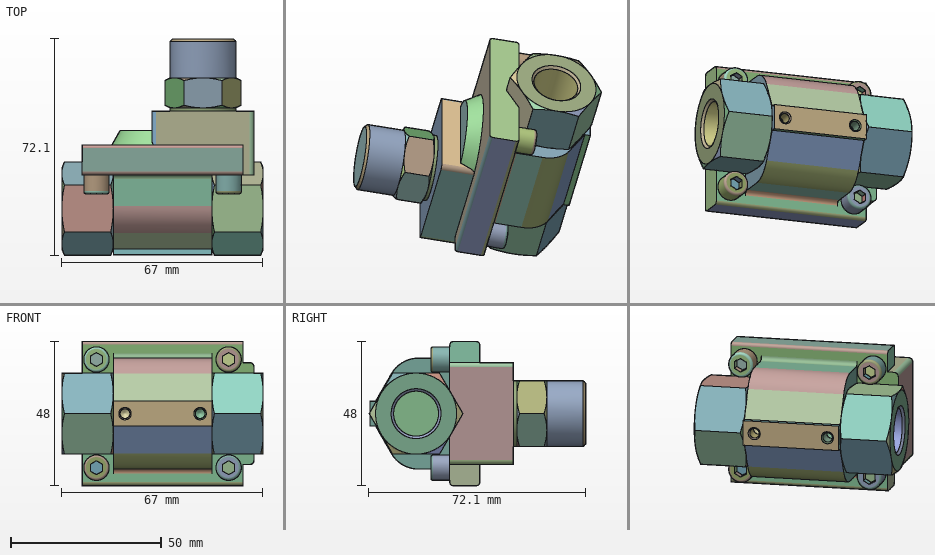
import cadquery as cq
import math


OVERALL_LENGTH = 67.0
OVERALL_DEPTH = 72.09
PORT_HEX_FLATS = 27.0
PORT_LENGTH = 17.1
PORT_BORE_DIAMETER = 14.95
PORT_BORE_MOUTH_DIAMETER = 16.6
PORT_BORE_DEPTH = PORT_LENGTH
PORT_CHAMFER_LENGTH = 0.85
PORT_CORNER_RADIUS = PORT_HEX_FLATS / math.sqrt(3)

BODY_LENGTH = OVERALL_LENGTH - 2 * PORT_LENGTH
BODY_HEIGHT = 37.0
BODY_SHOULDER_RADIUS = 10.4
BODY_SHOULDER_ANGLE = math.radians(60)
BODY_SHOULDER_Y = 0.8
BODY_ROOT_FILLET = 1.5

STRIP_HEIGHT = 8.4
STRIP_FRONT_Y = -15.4
STRIP_HOLE_SPACING = 25.0
STRIP_HOLE_DIAMETER = 3.24
STRIP_HOLE_MOUTH_DIAMETER = 4.13
STRIP_HOLE_DEPTH = 6.0
DRILL_POINT_ANGLE = math.radians(118)

PLATE_LENGTH = 53.6
PLATE_HEIGHT = 48.0
PLATE_FRONT_Y = 11.2
PLATE_THICKNESS = 10.0
PLATE_BACK_Y = PLATE_FRONT_Y + PLATE_THICKNESS
PLATE_EDGE_RADIUS = 1.1

SCREW_SPACING_X = 44.0
SCREW_SPACING_Z = 36.0
SCREW_HEAD_DIAMETER = 8.46
SCREW_HEAD_HEIGHT = 6.3
SCREW_EDGE_RADIUS = 0.8
SOCKET_FLATS = 4.0
SOCKET_DEPTH = 3.0

BOSS_BASE_RADIUS = 16.9
BOSS_TOP_RADIUS = 14.15
BOSS_HEIGHT = 4.8

OUTLET_X = 13.45
BLOCK_WIDTH = 34.0
BLOCK_BACK_Y = 32.4
BLOCK_EDGE_RADIUS = 1.5

OUTLET_END_Y = OVERALL_DEPTH - PORT_CORNER_RADIUS
OUTLET_DIAMETER = 22.0
COLLAR_LENGTH = 1.1
OUTLET_HEX_FLATS = 22.0
OUTLET_HEX_LENGTH = 10.0
OUTLET_HEX_CHAMFER_LENGTH = 0.9
SPIGOT_CHAMFER = 0.9


def hexagon(flats, angle):
    """Regular hexagon outline whose first corner lies at the given angle."""
    radius = flats / math.sqrt(3)
    angles = [math.radians(angle + 60 * i) for i in range(6)]
    return [(radius * math.cos(a), radius * math.sin(a)) for a in angles]


def turned_hexagon(flats, length, angle, chamfer_length):
    """Hexagonal prism along +Z whose corners are turned down at both ends."""
    prism = cq.Workplane("XY").polyline(hexagon(flats, angle)).close().extrude(length)
    corner_radius = flats / math.sqrt(3)
    end_radius = flats / 2
    envelope = (
        cq.Workplane("XZ")
        .polyline([
            (0, 0),
            (end_radius, 0),
            (corner_radius, chamfer_length),
            (corner_radius, length - chamfer_length),
            (end_radius, length),
            (0, length),
        ])
        .close()
        .revolve(360, (0, 0, 0), (0, 1, 0))
    )
    return prism.intersect(envelope)


def block_between(length, height, y_start, y_end):
    """Box centred in X and Z that spans the given Y range."""
    return (
        cq.Workplane("XY")
        .box(length, y_end - y_start, height)
        .translate((0, (y_start + y_end) / 2, 0))
    )


def make_port():
    """End port on the -X side, with a blind bore chamfered at its mouth."""
    port = turned_hexagon(PORT_HEX_FLATS, PORT_LENGTH, 90, PORT_CHAMFER_LENGTH)
    bore_radius = PORT_BORE_DIAMETER / 2
    mouth_radius = PORT_BORE_MOUTH_DIAMETER / 2
    bore = (
        cq.Workplane("XZ")
        .polyline([
            (0, 0),
            (mouth_radius, 0),
            (bore_radius, mouth_radius - bore_radius),
            (bore_radius, PORT_BORE_DEPTH),
            (0, PORT_BORE_DEPTH),
        ])
        .close()
        .revolve(360, (0, 0, 0), (0, 1, 0))
    )
    port = port.cut(bore).rotate((0, 0, 0), (0, 1, 0), 90)
    return port.translate((-OVERALL_LENGTH / 2, 0, 0))


def make_body():
    """Body with rounded shoulders, sloped front faces and flared root."""
    half_height = BODY_HEIGHT / 2
    half_strip = STRIP_HEIGHT / 2
    arc_centre_z = half_height - BODY_SHOULDER_RADIUS

    def shoulder_point(angle):
        y = BODY_SHOULDER_Y - BODY_SHOULDER_RADIUS * math.sin(angle)
        z = arc_centre_z + BODY_SHOULDER_RADIUS * math.cos(angle)
        return y, z

    arc_middle = shoulder_point(BODY_SHOULDER_ANGLE / 2)
    arc_end = shoulder_point(BODY_SHOULDER_ANGLE)
    slope_end_y = arc_end[0] - (arc_end[1] - half_strip) / math.tan(BODY_SHOULDER_ANGLE)
    root_y = PLATE_FRONT_Y - BODY_ROOT_FILLET
    root_z = half_height + BODY_ROOT_FILLET
    root_offset = BODY_ROOT_FILLET * math.sin(math.pi / 4)
    root_middle = (root_y + root_offset, root_z - root_offset)
    upper_half = (
        cq.Workplane("YZ")
        .moveTo(PLATE_BACK_Y, 0)
        .lineTo(PLATE_BACK_Y, root_z)
        .lineTo(PLATE_FRONT_Y, root_z)
        .threePointArc(root_middle, (root_y, half_height))
        .lineTo(BODY_SHOULDER_Y, half_height)
        .threePointArc(arc_middle, arc_end)
        .lineTo(slope_end_y, half_strip)
        .lineTo(STRIP_FRONT_Y, half_strip)
        .lineTo(STRIP_FRONT_Y, 0)
        .close()
        .extrude(BODY_LENGTH / 2, both=True)
    )
    return upper_half.union(upper_half.mirror("XY"))


def make_strip_hole(x):
    """Drilled hole with a countersunk mouth, entering the strip along +Y."""
    radius = STRIP_HOLE_DIAMETER / 2
    mouth_radius = STRIP_HOLE_MOUTH_DIAMETER / 2
    point_depth = radius / math.tan(DRILL_POINT_ANGLE / 2)
    hole = (
        cq.Workplane("XY")
        .polyline([
            (0, 0),
            (mouth_radius, 0),
            (radius, mouth_radius - radius),
            (radius, STRIP_HOLE_DEPTH),
            (0, STRIP_HOLE_DEPTH + point_depth),
        ])
        .close()
        .revolve(360, (0, 0, 0), (0, 1, 0))
    )
    return hole.translate((x, STRIP_FRONT_Y, 0))


def make_plate():
    """Flange plate with its four long edges rounded."""
    plate = block_between(PLATE_LENGTH, PLATE_HEIGHT, PLATE_FRONT_Y, PLATE_BACK_Y)
    return plate.edges("|X").fillet(PLATE_EDGE_RADIUS)


def make_screw_head(x, z):
    """Socket cap screw head standing on the front of the plate."""
    head = (
        cq.Workplane("XY")
        .circle(SCREW_HEAD_DIAMETER / 2)
        .extrude(SCREW_HEAD_HEIGHT)
        .faces(">Z")
        .fillet(SCREW_EDGE_RADIUS)
    )
    socket = (
        cq.Workplane("XY")
        .workplane(offset=SCREW_HEAD_HEIGHT - SOCKET_DEPTH)
        .polyline(hexagon(SOCKET_FLATS, 90))
        .close()
        .extrude(SOCKET_DEPTH)
    )
    head = head.cut(socket).rotate((0, 0, 0), (1, 0, 0), 90)
    return head.translate((x, PLATE_FRONT_Y, z))


def make_boss():
    """Conical boss narrowing away from the back of the plate."""
    return (
        cq.Workplane("XY")
        .polyline([
            (0, PLATE_BACK_Y),
            (BOSS_BASE_RADIUS, PLATE_BACK_Y),
            (BOSS_TOP_RADIUS, PLATE_BACK_Y + BOSS_HEIGHT),
            (0, PLATE_BACK_Y + BOSS_HEIGHT),
        ])
        .close()
        .revolve(360, (0, 0, 0), (0, 1, 0))
    )


def make_outlet():
    """Square outlet block carrying a collar, a hexagon and a round spigot."""
    block = (
        block_between(BLOCK_WIDTH, BLOCK_WIDTH, PLATE_FRONT_Y, BLOCK_BACK_Y)
        .edges("|Y")
        .fillet(BLOCK_EDGE_RADIUS)
    )
    spigot = (
        cq.Workplane("XY")
        .circle(OUTLET_DIAMETER / 2)
        .extrude(OUTLET_END_Y - BLOCK_BACK_Y)
        .faces(">Z")
        .chamfer(SPIGOT_CHAMFER)
    )
    nut = turned_hexagon(OUTLET_HEX_FLATS, OUTLET_HEX_LENGTH, 0, OUTLET_HEX_CHAMFER_LENGTH)
    fitting = spigot.union(nut.translate((0, 0, COLLAR_LENGTH)))
    fitting = fitting.rotate((0, 0, 0), (1, 0, 0), -90).translate((0, BLOCK_BACK_Y, 0))
    return block.union(fitting).translate((OUTLET_X, 0, 0))


port = make_port()
result = make_body().union(port).union(port.mirror("YZ"))
result = result.union(make_plate()).union(make_boss()).union(make_outlet())

for x_side in (-1, 1):
    for z_side in (-1, 1):
        screw_x = x_side * SCREW_SPACING_X / 2
        screw_z = z_side * SCREW_SPACING_Z / 2
        result = result.union(make_screw_head(screw_x, screw_z))
    result = result.cut(make_strip_hole(x_side * STRIP_HOLE_SPACING / 2))